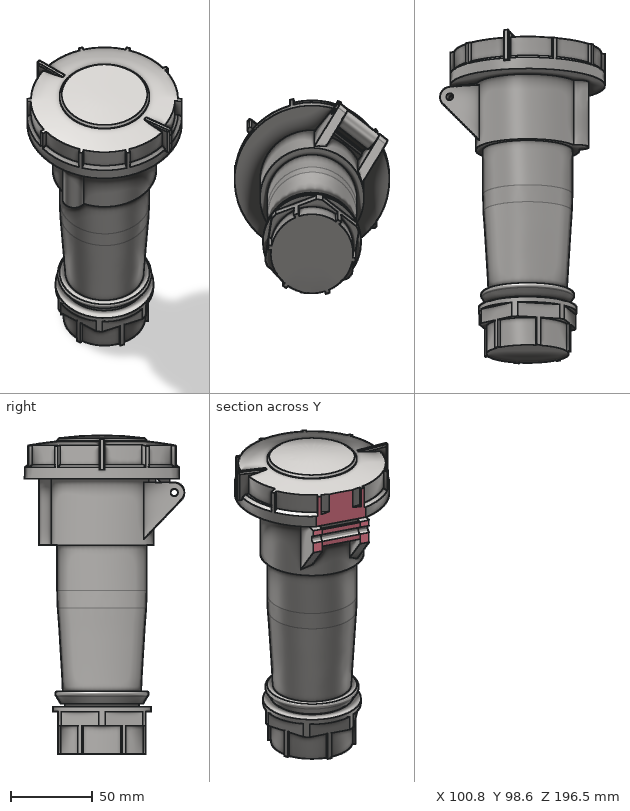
import cadquery as cq
import math

HEX_BOTTOM = 17.3
HEX_TOP = 26.1
FLANGE_TOP = 29.3
RING_BOTTOM = 30.9
RING_EDGE = 35.8
RING_WIDEST = 37.1
RING_TOP = 38.7
TAPER_TOP = 90.2
NECK_BOTTOM = 100.8
SLEEVE_BOTTOM = 128.7
CAP_BOTTOM = 169.5
BAND_TOP = 176.7
CAP_EDGE_TOP = 189.8
TOTAL_HEIGHT = 196.5

NUT_RADIUS = 25.3
HEX_SIDES = 6
HEX_APOTHEM = 27.1
NUT_RIB_WIDTH = 2.8
NUT_RIB_COUNT = HEX_SIDES
FLANGE_RADIUS = 30.3
GROOVE_RADIUS = 23.0
RING_FOOT_RADIUS = 25.3
RING_EDGE_RADIUS = 28.3
RING_TOP_RADIUS = 27.7
RING_RADIUS = 28.9

NECK_RADIUS = 27.7
TAPER_ANGLE = 3.5
SLEEVE_RADIUS = 32.0
BOSS_RADIUS = 7.0
BOSS_REACH = 39.0

HINGE_Y = 44.6
HINGE_Z = 161.1
HINGE_HOLE_RADIUS = 2.2
BRACKET_RADIUS = 6.3
BRACKET_FOOT_Z = 132.5
BRACKET_OUTER_X = 18.9
BRACKET_INNER_X = 12.5
PAD_HALF_WIDTH = 14.1
PAD_REACH = 33.2
BARREL_RADIUS = 5.9
ARM_OUTER_Y = 41.9
ARM_INNER_Y = 34.2

CAP_RADIUS = 47.7
SKIRT_RADIUS = 45.4
POCKET_FLOOR_RISE = 1.8
DEEP_POCKET_RADIUS = 43.5
CUT_MARGIN = 2.0
CAP_RIB_COUNT = 10
CAP_RIB_WIDTH = 2.4
DOME_INNER_Z = 192.8
DOME_BULGE = 0.2
DISC_RADIUS = 27.7
DISC_RIM_RADIUS = 26.3
DISC_BASE_Z = 193.2
DISC_RIM_Z = 194.7
WING_INNER_X = 31.0
WING_SPAN = 100.8
WING_OUTER_X = WING_SPAN / 2
WING_SHOULDER_X = 39.3
WING_BOTTOM = 175.0
WING_INNER_TOP = 192.5
WING_OUTER_TOP = 194.0
WING_WIDTH = 3.5
WING_TIP_WIDTH = 2.4
WING_TAPER_LENGTH = 5.7
WING_BEVEL_SIDE = 0.69
WING_BEVEL_DEPTH = 1.2


def cylinder(radius, bottom, top):
    return cq.Workplane("XY", origin=(0, 0, bottom)).circle(radius).extrude(top - bottom)


def side_plate(outline, x_start, x_end):
    """Extrude a Y-Z outline drawn on the YZ plane from x_start to x_end."""
    return outline.extrude(x_end - x_start).translate((x_start, 0, 0))


def spokes(count, width, reach, bottom, top):
    """Radial bars from the axis, the first one along +X."""
    bar = cq.Workplane("XY", origin=(0, 0, bottom)).box(
        reach, width, top - bottom, centered=(False, True, False)
    )
    bars = bar
    for i in range(1, count):
        bars = bars.union(bar.rotate((0, 0, 0), (0, 0, 1), i * 360 / count))
    return bars


def hinge_hole():
    outline = cq.Workplane("YZ").center(HINGE_Y, HINGE_Z).circle(HINGE_HOLE_RADIUS)
    return side_plate(outline, -BRACKET_OUTER_X, BRACKET_OUTER_X)


def make_nut():
    nut = cylinder(NUT_RADIUS, 0, HEX_TOP)
    ribs = spokes(NUT_RIB_COUNT, NUT_RIB_WIDTH, HEX_APOTHEM, 0, HEX_TOP)
    nut = nut.union(ribs.rotate((0, 0, 0), (0, 0, 1), 180 / NUT_RIB_COUNT))

    hexagon = (
        cq.Workplane("XY", origin=(0, 0, HEX_BOTTOM))
        .polygon(HEX_SIDES, 2 * HEX_APOTHEM, circumscribed=True)
        .extrude(HEX_TOP - HEX_BOTTOM)
        .rotate((0, 0, 0), (0, 0, 1), 180 / HEX_SIDES)
        .intersect(cylinder(FLANGE_RADIUS, HEX_BOTTOM, HEX_TOP))
    )
    return nut.union(hexagon).union(cylinder(FLANGE_RADIUS, HEX_TOP, FLANGE_TOP))


def make_handle():
    """Turned handle: groove, sealing ring, tapered grip, neck and sleeve."""
    angle = math.radians(TAPER_ANGLE)
    blend_radius = (NECK_BOTTOM - TAPER_TOP) / math.sin(angle)
    blend_center = NECK_RADIUS - blend_radius
    blend_middle = (
        blend_center + blend_radius * math.cos(angle / 2),
        NECK_BOTTOM - blend_radius * math.sin(angle / 2),
    )
    taper_top_radius = blend_center + blend_radius * math.cos(angle)
    taper_foot_radius = taper_top_radius - (TAPER_TOP - RING_TOP) * math.tan(angle)
    return (
        cq.Workplane("XZ")
        .moveTo(0, FLANGE_TOP)
        .lineTo(GROOVE_RADIUS, FLANGE_TOP)
        .lineTo(GROOVE_RADIUS, RING_BOTTOM)
        .lineTo(RING_FOOT_RADIUS, RING_BOTTOM)
        .lineTo(RING_EDGE_RADIUS, RING_EDGE)
        .threePointArc((RING_RADIUS, RING_WIDEST), (RING_TOP_RADIUS, RING_TOP))
        .lineTo(taper_foot_radius, RING_TOP)
        .lineTo(taper_top_radius, TAPER_TOP)
        .threePointArc(blend_middle, (NECK_RADIUS, NECK_BOTTOM))
        .lineTo(NECK_RADIUS, SLEEVE_BOTTOM)
        .lineTo(SLEEVE_RADIUS, SLEEVE_BOTTOM)
        .lineTo(SLEEVE_RADIUS, CAP_BOTTOM)
        .lineTo(0, CAP_BOTTOM)
        .close()
        .revolve(360, (0, 0), (0, 1))
    )


def make_boss():
    """Round boss along the -Y side of the sleeve."""
    boss_y = BOSS_RADIUS - BOSS_REACH
    return cylinder(BOSS_RADIUS, SLEEVE_BOTTOM, CAP_BOTTOM).translate((0, boss_y, 0))


def bracket_outline():
    """Bracket side shape: round hinge eye, flat top and a slope tangent to the eye."""
    foot_y = math.sqrt(SLEEVE_RADIUS**2 - BRACKET_OUTER_X**2)
    to_foot = math.atan2(BRACKET_FOOT_Z - HINGE_Z, foot_y - HINGE_Y)
    foot_distance = math.hypot(BRACKET_FOOT_Z - HINGE_Z, foot_y - HINGE_Y)
    tangent = to_foot + math.acos(BRACKET_RADIUS / foot_distance)
    eye_top = HINGE_Z + BRACKET_RADIUS
    tangent_point = (
        HINGE_Y + BRACKET_RADIUS * math.cos(tangent),
        HINGE_Z + BRACKET_RADIUS * math.sin(tangent),
    )
    return (
        cq.Workplane("YZ")
        .moveTo(0, BRACKET_FOOT_Z)
        .lineTo(0, eye_top)
        .lineTo(HINGE_Y, eye_top)
        .threePointArc((HINGE_Y + BRACKET_RADIUS, HINGE_Z), tangent_point)
        .lineTo(foot_y, BRACKET_FOOT_Z)
        .close()
    )


def make_brackets():
    right = side_plate(bracket_outline(), BRACKET_INNER_X, BRACKET_OUTER_X)
    return right.union(right.mirror("YZ")).cut(hinge_hole())


def make_hinge_pad():
    """Flat pad on the sleeve behind the hinge, up to the cap."""
    return cq.Workplane("XY", origin=(0, 0, HINGE_Z)).box(
        2 * PAD_HALF_WIDTH, PAD_REACH, CAP_BOTTOM - HINGE_Z, centered=(True, False, False)
    )


def make_housing():
    body = make_nut().union(make_handle()).union(make_boss())
    return body.union(make_brackets()).union(make_hinge_pad())


def make_cap_blank():
    dome_middle = (
        (CAP_RADIUS + DISC_RADIUS) / 2,
        (CAP_EDGE_TOP + DOME_INNER_Z) / 2 + DOME_BULGE,
    )
    disc_sphere_radius = (DISC_RIM_RADIUS**2 + (TOTAL_HEIGHT - DISC_RIM_Z) ** 2) / (
        2 * (TOTAL_HEIGHT - DISC_RIM_Z)
    )
    middle_radius = DISC_RIM_RADIUS / 2
    disc_middle_drop = disc_sphere_radius - math.sqrt(disc_sphere_radius**2 - middle_radius**2)
    return (
        cq.Workplane("XZ")
        .moveTo(0, CAP_BOTTOM)
        .lineTo(CAP_RADIUS, CAP_BOTTOM)
        .lineTo(CAP_RADIUS, CAP_EDGE_TOP)
        .threePointArc(dome_middle, (DISC_RADIUS, DOME_INNER_Z))
        .lineTo(DISC_RADIUS, DISC_BASE_Z)
        .lineTo(DISC_RIM_RADIUS, DISC_RIM_Z)
        .threePointArc((middle_radius, TOTAL_HEIGHT - disc_middle_drop), (0, TOTAL_HEIGHT))
        .close()
        .revolve(360, (0, 0), (0, 1))
    )


def make_cap_pockets():
    """Recesses around the skirt with sloped floors; the one after +X is deeper."""
    floor_z = BAND_TOP + POCKET_FLOOR_RISE
    outside = CAP_RADIUS + CUT_MARGIN
    pockets = (
        cq.Workplane("XZ")
        .moveTo(CAP_RADIUS, BAND_TOP)
        .lineTo(SKIRT_RADIUS, floor_z)
        .lineTo(SKIRT_RADIUS, TOTAL_HEIGHT)
        .lineTo(outside, TOTAL_HEIGHT)
        .lineTo(outside, BAND_TOP)
        .close()
        .revolve(360, (0, 0), (0, 1))
    )
    deep_pocket = (
        cq.Workplane("XZ")
        .moveTo(DEEP_POCKET_RADIUS, floor_z)
        .lineTo(DEEP_POCKET_RADIUS, TOTAL_HEIGHT)
        .lineTo(outside, TOTAL_HEIGHT)
        .lineTo(outside, floor_z)
        .close()
        .revolve(360 / CAP_RIB_COUNT, (0, 0), (0, 1))
    )
    ribs = spokes(CAP_RIB_COUNT, CAP_RIB_WIDTH, outside + CUT_MARGIN, BAND_TOP, TOTAL_HEIGHT)
    return pockets.union(deep_pocket).cut(ribs)


def make_wing():
    """Bevelled grip wing over the edge of the cap on the +X side."""
    blade = (
        cq.Workplane("XZ")
        .polyline(
            [
                (WING_SHOULDER_X, WING_BOTTOM),
                (WING_OUTER_X, WING_BOTTOM),
                (WING_OUTER_X, WING_OUTER_TOP),
                (WING_INNER_X, WING_INNER_TOP),
                (WING_INNER_X, CAP_EDGE_TOP),
                (WING_SHOULDER_X, CAP_EDGE_TOP),
            ]
        )
        .close()
        .extrude(WING_WIDTH / 2, both=True)
    )
    taper_end_x = WING_INNER_X + WING_TAPER_LENGTH
    plan = (
        cq.Workplane("XY", origin=(0, 0, WING_BOTTOM))
        .polyline(
            [
                (WING_INNER_X, -WING_TIP_WIDTH / 2),
                (taper_end_x, -WING_WIDTH / 2),
                (WING_OUTER_X, -WING_WIDTH / 2),
                (WING_OUTER_X, WING_WIDTH / 2),
                (taper_end_x, WING_WIDTH / 2),
                (WING_INNER_X, WING_TIP_WIDTH / 2),
            ]
        )
        .close()
        .extrude(TOTAL_HEIGHT - WING_BOTTOM)
    )
    half = WING_WIDTH / 2
    crest = half - WING_BEVEL_SIDE
    end_bevel = (
        cq.Workplane("XY", origin=(0, 0, WING_BOTTOM))
        .polyline([(WING_OUTER_X, crest), (WING_OUTER_X, half), (WING_OUTER_X - WING_BEVEL_DEPTH, half)])
        .close()
        .extrude(TOTAL_HEIGHT - WING_BOTTOM)
    )
    slope = math.atan2(WING_OUTER_TOP - WING_INNER_TOP, WING_OUTER_X - WING_INNER_X)
    top_bevel = (
        cq.Workplane("YZ")
        .polyline([(crest, 0), (half, 0), (half, -WING_BEVEL_DEPTH)])
        .close()
        .extrude(WING_OUTER_X)
        .rotate((0, 0, 0), (0, 1, 0), -math.degrees(slope))
        .translate((0, 0, WING_INNER_TOP - WING_INNER_X * math.tan(slope)))
    )
    bevels = end_bevel.union(top_bevel)
    return blade.intersect(plan).cut(bevels).cut(bevels.mirror("XZ"))


def make_hinge_arm():
    """Arm from the cap underside down to the hinge barrel, filling the gap between the brackets."""
    outline = (
        cq.Workplane("YZ")
        .polyline([(ARM_INNER_Y, CAP_BOTTOM), (ARM_OUTER_Y, CAP_BOTTOM), (ARM_OUTER_Y, HINGE_Z)])
        .close()
    )
    arm = side_plate(outline, -BRACKET_INNER_X, BRACKET_INNER_X)
    barrel_outline = cq.Workplane("YZ").center(HINGE_Y, HINGE_Z).circle(BARREL_RADIUS)
    barrel = side_plate(barrel_outline, -BRACKET_INNER_X, BRACKET_INNER_X)
    return arm.union(barrel).cut(hinge_hole())


def make_cap():
    wing = make_wing()
    cap = make_cap_blank().cut(make_cap_pockets())
    return cap.union(wing).union(wing.mirror("YZ")).union(make_hinge_arm())


housing = make_housing().solids()
cap = make_cap().solids()
result = cq.Compound.makeCompound([housing.val(), cap.val()])